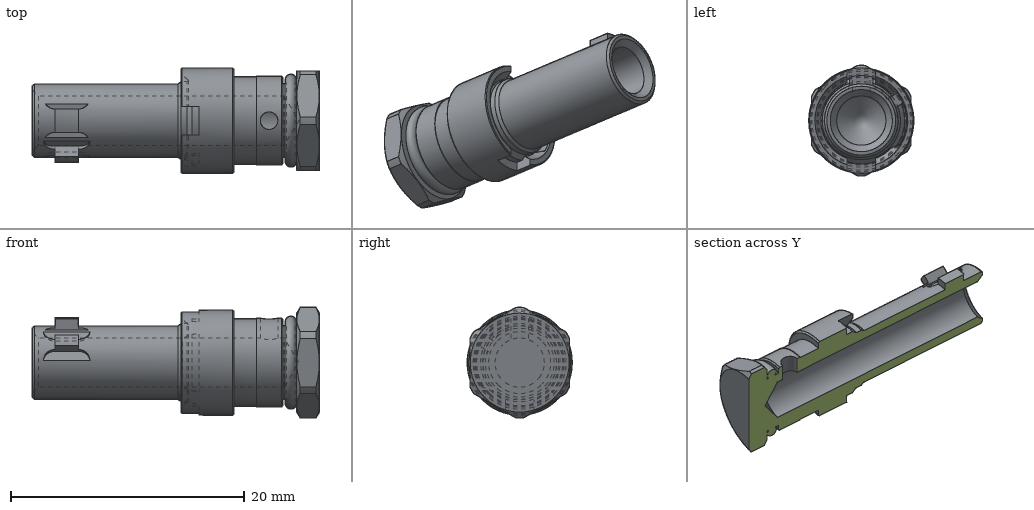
import cadquery as cq
import math

flare_start = 12.50
collar_front = 12.78
ledge_end = 13.30
step_end = 13.72
slot_end = 14.30
collar_rear = 17.32
neck_end = 19.24
land_end = 21.50
hex_front = 22.68
total_length = 24.63

tube_radius = 3.15
ledge_radius = 3.35
cavity_root_radius = 3.46
cavity_radius = 3.73
collar_mouth_radius = 3.97
collar_radius = 4.515
neck_radius = 3.77
land_radius = 3.82
core_radius = 3.18

tube_chamfer = 0.20
collar_front_chamfer = 0.08
collar_rear_chamfer = 0.14
land_chamfer = 0.13

ring_section_radius = 0.49
ring_gap = 0.01
ring_pitch_radius = 3.50

bore_radius = 2.11
bore_mouth_radius = 2.66
bore_depth = 21.60
drill_half_angle = math.radians(59)

hex_across_flats = 8.54
hex_corner_radius = 4.75
hex_face_radius = 4.24
hex_chamfer_length = 0.30

slot_width = 2.46
side_recess_radius = 3.87
side_recess_cutter_radius = 2.48
hole_diameter = 1.50
hole_x = 20.31

key_center_x = 2.97
key_length = 2.0
key_radius = 3.86
key_floor_height = 2.81
cutter_diameter = 2.0
top_key_width = 2.0
side_key_width = 1.0
side_key_angle = 60.0

AXIS_START = (0, 0, 0)
AXIS_END = (1, 0, 0)


def revolve_x(profile):
    """Close an (x, radius) outline and revolve it about the part axis."""
    return profile.close().revolve(360, AXIS_START, AXIS_END)


def cylinder_x(start, end, radius):
    return cq.Workplane("YZ", origin=(start, 0, 0)).circle(radius).extrude(end - start)


def make_body():
    """Tube, collar with its recessed front, neck, land and sealing ring in one turning."""
    step_slope = (step_end - ledge_end) / (cavity_radius - ledge_radius)
    cavity_root_x = ledge_end + (cavity_root_radius - ledge_radius) * step_slope
    ring_x = hex_front - ring_gap - ring_section_radius
    ring_half_chord = math.sqrt(ring_section_radius**2 - (ring_pitch_radius - core_radius) ** 2)
    profile = (
        cq.Workplane("XY")
        .moveTo(0, 0)
        .lineTo(0, tube_radius - tube_chamfer)
        .lineTo(tube_chamfer, tube_radius)
        .lineTo(flare_start, tube_radius)
        .lineTo(collar_front, ledge_radius)
        .lineTo(ledge_end, ledge_radius)
        .lineTo(cavity_root_x, cavity_root_radius)
        .lineTo(collar_front, collar_mouth_radius)
        .lineTo(collar_front, collar_radius - collar_front_chamfer)
        .lineTo(collar_front + collar_front_chamfer, collar_radius)
        .lineTo(collar_rear - collar_rear_chamfer, collar_radius)
        .lineTo(collar_rear, collar_radius - collar_rear_chamfer)
        .lineTo(collar_rear, neck_radius)
        .lineTo(neck_end, neck_radius)
        .lineTo(neck_end, land_radius)
        .lineTo(land_end - land_chamfer, land_radius)
        .lineTo(land_end, land_radius - land_chamfer)
        .lineTo(land_end, core_radius)
        .lineTo(ring_x - ring_half_chord, core_radius)
        .threePointArc(
            (ring_x, ring_pitch_radius + ring_section_radius),
            (ring_x + ring_half_chord, core_radius),
        )
        .lineTo(hex_front, core_radius)
        .lineTo(hex_front, 0)
    )
    return revolve_x(profile)


def make_hex_head():
    """Hexagon trimmed by a round with a conical chamfer at each end."""
    corner_diameter = hex_across_flats / math.cos(math.radians(30))
    prism = (
        cq.Workplane("YZ", origin=(hex_front, 0, 0))
        .polygon(6, corner_diameter)
        .extrude(total_length - hex_front)
        .rotate(AXIS_START, AXIS_END, 90)
    )
    envelope = (
        cq.Workplane("XY")
        .moveTo(hex_front, 0)
        .lineTo(hex_front, hex_face_radius)
        .lineTo(hex_front + hex_chamfer_length, hex_corner_radius)
        .lineTo(total_length - hex_chamfer_length, hex_corner_radius)
        .lineTo(total_length, hex_face_radius)
        .lineTo(total_length, 0)
    )
    return prism.intersect(revolve_x(envelope))


def make_bore():
    """Blind bore with a 45 degree countersunk mouth and a conical bottom."""
    countersink_depth = bore_mouth_radius - bore_radius
    tip_x = bore_depth + bore_radius / math.tan(drill_half_angle)
    profile = (
        cq.Workplane("XY")
        .moveTo(0, 0)
        .lineTo(0, bore_mouth_radius)
        .lineTo(countersink_depth, bore_radius)
        .lineTo(bore_depth, bore_radius)
        .lineTo(tip_x, 0)
    )
    return revolve_x(profile)


def make_recess_floor():
    """Stepped round floor left standing inside the front of the collar."""
    profile = (
        cq.Workplane("XY")
        .moveTo(flare_start, 0)
        .lineTo(flare_start, ledge_radius)
        .lineTo(ledge_end, ledge_radius)
        .lineTo(step_end, cavity_radius)
        .lineTo(slot_end, cavity_radius)
        .lineTo(slot_end, 0)
    )
    return revolve_x(profile)


def make_collar_slots():
    """Two opposed slots through the collar wall, ending on the stepped floor."""
    slot_length = slot_end - flare_start
    slab = cq.Workplane("XY").box(slot_length, slot_width, 2 * collar_radius + slot_width)
    slab = slab.translate((flare_start + slot_length / 2, 0, 0))
    return slab.cut(make_recess_floor())


def make_side_recess():
    """Round-ended recess inside the collar wall on the -Y side, open to the front."""
    cutter = (
        cq.Workplane("XZ", origin=(slot_end, 0, 0))
        .circle(side_recess_cutter_radius)
        .extrude(collar_radius)
    )
    clearance = cylinder_x(flare_start, slot_end, side_recess_radius)
    return cutter.intersect(clearance).cut(make_recess_floor())


def make_cross_hole():
    return cq.Workplane("XY").center(hole_x, 0).circle(hole_diameter / 2).extrude(collar_radius)


def add_key(part, width, angle):
    """Add a key standing between two milled flats, turned from +Z toward -Y by the angle."""
    flat_offset = (width + cutter_diameter) / 2
    flats = (
        cq.Workplane("XY", origin=(key_center_x, 0, key_floor_height))
        .pushPoints([(0, -flat_offset), (0, flat_offset)])
        .slot2D(key_length + cutter_diameter, cutter_diameter)
        .extrude(key_radius)
    )
    key_base = (bore_radius + key_floor_height) / 2
    block = (
        cq.Workplane("XY", origin=(key_center_x, 0, key_base))
        .rect(key_length, width)
        .extrude(key_radius)
    )
    key = block.intersect(cylinder_x(0, flare_start, key_radius))
    flats = flats.rotate(AXIS_START, AXIS_END, angle)
    key = key.rotate(AXIS_START, AXIS_END, angle)
    return part.cut(flats).union(key)


result = make_body().union(make_hex_head())
result = add_key(result, top_key_width, 0)
result = add_key(result, side_key_width, side_key_angle)
result = result.cut(make_collar_slots()).cut(make_side_recess())
result = result.cut(make_bore()).cut(make_cross_hole())